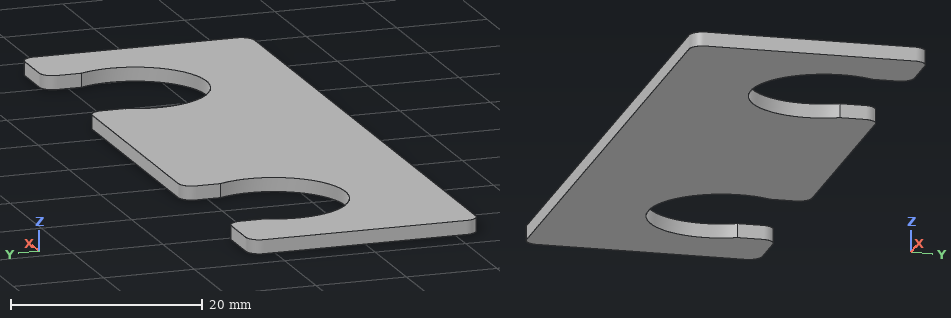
import cadquery as cq

length = 73.65
width = 25.4
thickness = 1.55
corner_radius = 1.5

notch_offset = 22.25
notch_radius = 7.9
notch_depth = 15.55
mouth_width = 14.15

back_edge = width / 2
notch_center_y = back_edge - notch_depth + notch_radius


def notch(x):
    """Cutter for a round seat with a narrower straight mouth through the back edge."""
    seat = cq.Workplane("XY").center(x, notch_center_y).circle(notch_radius).extrude(thickness)
    mouth_length = back_edge - notch_center_y
    mouth = (
        cq.Workplane("XY")
        .center(x, notch_center_y + mouth_length / 2)
        .rect(mouth_width, mouth_length)
        .extrude(thickness)
    )
    return seat.union(mouth)


plate = cq.Workplane("XY").box(length, width, thickness, centered=(True, True, False))
for side in (-1, 1):
    plate = plate.cut(notch(side * notch_offset))

result = plate.edges("|Z").edges("<Y or >Y").fillet(corner_radius)